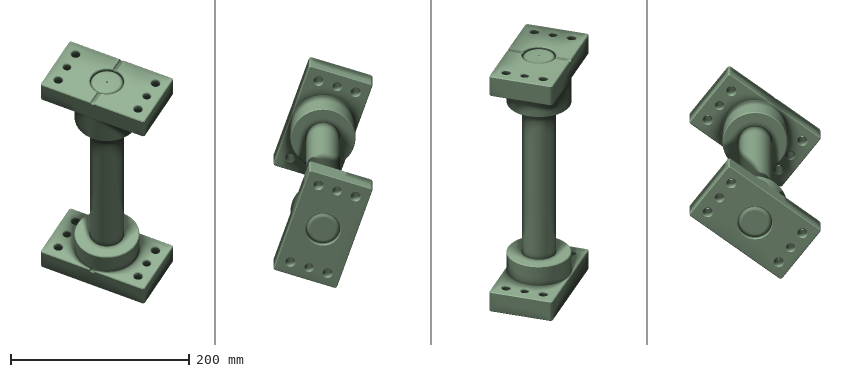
import cadquery as cq
import math

total_height = 301.0
plate_length = 130.0
plate_width = 75.0
plate_thickness = 25.0
corner_chamfer = 1.8
edge_chamfer = 1.0

hole_row_x = 50.0
hole_pitch_y = 22.0
end_hole_diameter = 10.0
middle_hole_diameter = 9.0
hole_chamfer = 1.0

boss_diameter = 72.8
boss_chamfer = 1.0
boss_root_fillet = 1.0
upper_boss_height = 35.2
lower_boss_height = 25.0

pillar_diameter = 38.2
pillar_recess = 1.0
pillar_end_fillet = 4.8
center_hole_diameter = 2.0
center_hole_depth = 2.0
bore_chamfer = 1.0

vent_groove_diameter = 5.0
vent_groove_depth = 2.0
cross_hole_diameter = 7.0


def make_plate():
    """Plate from z = 0 up to its thickness, with all outer edges chamfered."""
    return (
        cq.Workplane("XY")
        .box(plate_length, plate_width, plate_thickness, centered=(True, True, False))
        .edges("|Z")
        .chamfer(corner_chamfer)
        .faces("<Z or >Z")
        .edges()
        .chamfer(edge_chamfer)
    )


def make_boss(height):
    """Round boss standing on a plate, with a rounded root and a chamfered rim.

    The root is trimmed flat where it would overhang the chamfered long edges of the plate.
    """
    boss_radius = boss_diameter / 2
    fillet_middle = boss_root_fillet * (1 - math.sqrt(0.5))
    flat_face_width = plate_width - 2 * edge_chamfer
    trim_block = cq.Workplane("XY").box(
        plate_length, flat_face_width, height, centered=(True, True, False)
    )
    boss = (
        cq.Workplane("XZ")
        .moveTo(0, 0)
        .lineTo(boss_radius + boss_root_fillet, 0)
        .threePointArc(
            (boss_radius + fillet_middle, fillet_middle),
            (boss_radius, boss_root_fillet),
        )
        .lineTo(boss_radius, height - boss_chamfer)
        .lineTo(boss_radius - boss_chamfer, height)
        .lineTo(0, height)
        .close()
        .revolve(360, (0, 0, 0), (0, 1, 0))
    )
    return boss.intersect(trim_block).translate((0, 0, plate_thickness))


def through_hole(diameter, length, chamfer):
    """Cutter for a hole from z = 0 to the given length, chamfered at both mouths."""
    radius = diameter / 2
    return (
        cq.Workplane("XZ")
        .moveTo(0, 0)
        .lineTo(radius + chamfer, 0)
        .lineTo(radius, chamfer)
        .lineTo(radius, length - chamfer)
        .lineTo(radius + chamfer, length)
        .lineTo(0, length)
        .close()
        .revolve(360, (0, 0, 0), (0, 1, 0))
    )


def make_holder(boss_height):
    """Flanged holder with its plate at the bottom and its boss pointing up."""
    holder = make_plate().union(make_boss(boss_height))
    holder = holder.cut(through_hole(pillar_diameter, plate_thickness + boss_height, bore_chamfer))
    for side in (-1, 1):
        for row in (-1, 0, 1):
            diameter = middle_hole_diameter if row == 0 else end_hole_diameter
            hole = through_hole(diameter, plate_thickness, hole_chamfer)
            holder = holder.cut(hole.translate((side * hole_row_x, row * hole_pitch_y, 0)))
    return holder


def make_lower_holder():
    """Lower holder, with a cross hole from its front into the bore at the plate's upper face."""
    cross_hole = (
        cq.Workplane("XZ", origin=(0, 0, plate_thickness))
        .circle(cross_hole_diameter / 2)
        .extrude(plate_width / 2)
    )
    return make_holder(lower_boss_height).cut(cross_hole)


def make_upper_holder():
    """Upper holder turned over, with a shallow round groove across its outer face."""
    holder = (
        make_holder(upper_boss_height)
        .rotate((0, 0, 0), (1, 0, 0), 180)
        .translate((0, 0, total_height))
    )
    groove_axis_z = total_height - vent_groove_depth + vent_groove_diameter / 2
    vent_groove = (
        cq.Workplane("XZ", origin=(0, 0, groove_axis_z))
        .circle(vent_groove_diameter / 2)
        .extrude(plate_width / 2, both=True)
    )
    return holder.cut(vent_groove)


def make_pillar():
    """Round pillar with rounded ends, set slightly below the outer faces of both holders."""
    return (
        cq.Workplane("XY", origin=(0, 0, pillar_recess))
        .circle(pillar_diameter / 2)
        .extrude(total_height - 2 * pillar_recess)
        .edges()
        .fillet(pillar_end_fillet)
        .faces(">Z")
        .workplane()
        .hole(center_hole_diameter, center_hole_depth)
    )


lower_holder = make_lower_holder()
upper_holder = make_upper_holder()
pillar = make_pillar()

result = cq.Compound.makeCompound([lower_holder.val(), upper_holder.val(), pillar.val()])